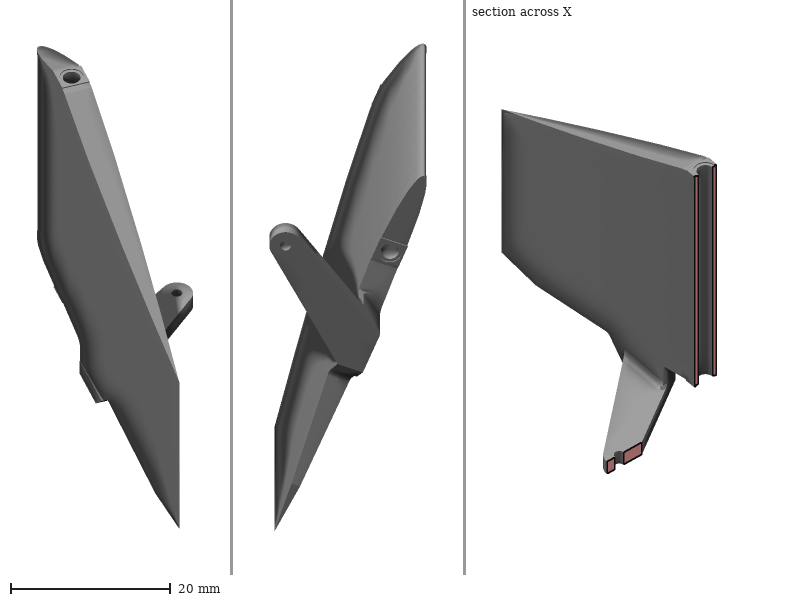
import cadquery as cq
import math

chord = 52.0
max_thickness = 3.65
half_thickness = max_thickness / 2
leading_edge_bottom = 6.6
leading_edge_top = 37.45
trailing_edge_top = 24.35
crown_height = 42.05
shoulder_height = 41.85
shoulder_front = 9.6
shoulder_back = 14.35
lower_slope_start = 14.0
lower_slope_end = 44.6

pivot_x = 11.95
pad_length = 3.15
pad_rise = 0.15
bore_diameter = 2.25
recess_diameter = 3.0

arm_thickness = 2.15
arm_hole_y = 14.0
arm_hole_diameter = 1.35
arm_end_radius = 2.05
foot_front_x = 20.0
foot_back_x = 29.05
foot_toe_x = 26.0
neck_fillet = 1.05
heel_fillet = 1.05
ledge_fillet = 0.85
neck_edge_x = 18.05
ledge_middle_x = 21.85
side_bevel = 0.35
neck_height = 6.25

curve_points = 24


def airfoil_half_thickness(position):
    """Half thickness of a four-digit airfoil at a fraction of the chord, closed at the tail."""
    series = (
        0.2969 * math.sqrt(position)
        - 0.1260 * position
        - 0.3516 * position**2
        + 0.2843 * position**3
        - 0.1036 * position**4
    )
    return 5 * max_thickness * series


def airfoil_prism(height):
    positions = [(1 - math.cos(math.pi * i / curve_points)) / 2 for i in range(curve_points)]
    upper = [(chord * p, airfoil_half_thickness(p)) for p in positions]
    lower = [(x, -y) for x, y in upper]
    tail = (chord, 0)
    outline = [tail] + upper[:0:-1] + lower + [tail]
    return cq.Workplane("XY").spline(outline).close().extrude(height)


def side_prism(points, half_width):
    """Prism across the wing from an outline in X and Z."""
    return cq.Workplane("XZ").polyline(points).close().extrude(half_width, both=True)


def tangent_point(point, side):
    """Point where a line from the given point touches the arm's round end."""
    dx = point[0] - pivot_x
    dy = point[1] - arm_hole_y
    angle = math.atan2(dy, dx) + side * math.acos(arm_end_radius / math.hypot(dx, dy))
    return (pivot_x + arm_end_radius * math.cos(angle), arm_hole_y + arm_end_radius * math.sin(angle))


def arm_prism(height):
    """Tapered arm with a round end, widening toward the foot under the wing."""
    front = (foot_front_x, -half_thickness)
    back = (foot_back_x, -half_thickness)
    return (
        cq.Workplane("XY")
        .moveTo(*back)
        .lineTo(*tangent_point(back, 1))
        .threePointArc((pivot_x, arm_hole_y + arm_end_radius), tangent_point(front, -1))
        .lineTo(*front)
        .close()
        .extrude(height)
    )


def heel_trim(height):
    """Region in front of the 45 degree back end of the foot."""
    return side_prism([(0, 0), (foot_toe_x, 0), (foot_toe_x + height, height), (0, height)], chord)


def wing_envelope():
    outline = [
        (0, leading_edge_bottom),
        (lower_slope_start, leading_edge_bottom),
        (lower_slope_end, 0),
        (chord, 0),
        (chord, trailing_edge_top),
        (shoulder_back, shoulder_height),
        (pivot_x + pad_length / 2, crown_height),
        (pivot_x - pad_length / 2, crown_height),
        (shoulder_front, shoulder_height),
        (0, leading_edge_top),
    ]
    return side_prism(outline, max_thickness)


def neck_envelope():
    """Block joining wing and foot, cut off along the arm's front edge."""
    front = (foot_front_x, -half_thickness)
    arm_edge = tangent_point(front, -1)
    slope = (arm_edge[1] - front[1]) / (arm_edge[0] - front[0])
    outline = [
        (front[0] - half_thickness / slope, -max_thickness),
        (neck_edge_x, front[1] + (neck_edge_x - front[0]) * slope),
        (neck_edge_x, max_thickness),
        (lower_slope_end, max_thickness),
        (lower_slope_end, -max_thickness),
    ]
    block = cq.Workplane("XY").polyline(outline).close().extrude(neck_height)
    return block.intersect(heel_trim(neck_height))


def underside_edge(x, y):
    """Picks the corner where a neck face meets the sloping underside of the wing."""
    fall = leading_edge_bottom / (lower_slope_end - lower_slope_start)
    z = leading_edge_bottom - (x - lower_slope_start) * fall
    return cq.selectors.NearestToPointSelector((x, y, z))


def wing_and_neck():
    envelope = wing_envelope().union(neck_envelope())
    neck_front = underside_edge(foot_front_x, -half_thickness)
    neck_heel = underside_edge(foot_back_x, 0)
    envelope = envelope.edges(neck_front).fillet(neck_fillet)
    envelope = envelope.edges(neck_heel).fillet(heel_fillet)
    return envelope.intersect(airfoil_prism(crown_height))


def neck_side_bevel():
    """Small 45 degree wedge between the top of the arm and the front end of the neck."""
    wedge = [
        (neck_edge_x - side_bevel, arm_thickness),
        (neck_edge_x, arm_thickness + side_bevel),
        (neck_edge_x + side_bevel, arm_thickness),
        (neck_edge_x + side_bevel, 0),
        (neck_edge_x - side_bevel, 0),
    ]
    bevel_end = half_thickness + side_bevel
    return side_prism(wedge, bevel_end).intersect(arm_prism(arm_thickness + side_bevel))


def add_arm(body):
    arm = arm_prism(arm_thickness)
    body = body.union(arm.intersect(heel_trim(arm_thickness)))
    ledge = cq.selectors.NearestToPointSelector((ledge_middle_x, half_thickness, arm_thickness))
    body = body.edges(ledge).fillet(ledge_fillet)
    body = body.union(neck_side_bevel())
    hole_center = cq.Workplane("XY").center(pivot_x, arm_hole_y)
    return body.cut(hole_center.circle(arm_hole_diameter / 2).extrude(arm_thickness))


def add_pivot(body):
    pad_height = crown_height - leading_edge_bottom + 2 * pad_rise
    pad_bottom = leading_edge_bottom - pad_rise
    base = cq.Workplane("XY", origin=(pivot_x, 0, pad_bottom))
    top = cq.Workplane("XY", origin=(pivot_x, 0, crown_height))
    body = body.union(base.rect(pad_length, max_thickness).extrude(pad_rise))
    body = body.union(top.rect(pad_length, max_thickness).extrude(pad_rise))
    body = body.cut(base.circle(bore_diameter / 2).extrude(pad_height))
    body = body.cut(base.circle(recess_diameter / 2).extrude(pad_rise))
    return body.cut(top.circle(recess_diameter / 2).extrude(pad_rise))


result = add_pivot(add_arm(wing_and_neck()))